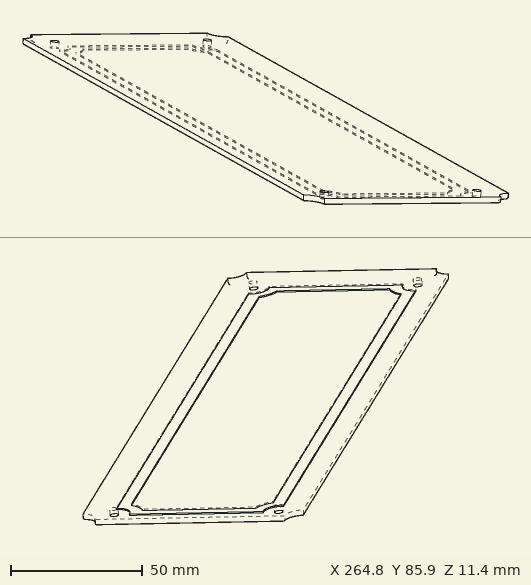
import cadquery as cq
length = 264.75
width = 86.23
thickness = 2.5
edge_fillet = 1.0
tilt_angle = 6.0

corner_radius = 6.0

hole_diameter = 3.2
hole_inset = 11.0

frame_inset = 10.4
frame_width = 5.0
frame_depth = 0.5
frame_corner_radius = 6.0


def corner_cylinders(inset, radius, height):
    """Four cylinders rising from Z = 0, at a given inset from the plate corners."""
    return (
        cq.Workplane("XY")
        .rect(length - 2 * inset, width - 2 * inset, forConstruction=True)
        .vertices()
        .circle(radius)
        .extrude(height)
    )


def inset_block(inset, height):
    """Rectangular block rising from Z = 0, at a given inset from the plate sides."""
    return cq.Workplane("XY").box(
        length - 2 * inset, width - 2 * inset, height, centered=(True, True, False)
    )


def plate_body():
    body = inset_block(0, thickness).cut(corner_cylinders(0, corner_radius, thickness))
    return body.faces("<Z").edges().fillet(edge_fillet)


def frame_panel(inset, radius):
    """Rectangle as deep as the groove, with concave arcs around the holes."""
    arcs = corner_cylinders(hole_inset, radius, frame_depth)
    return inset_block(inset, frame_depth).cut(arcs)


def frame_groove():
    outer = frame_panel(frame_inset, frame_corner_radius)
    inner = frame_panel(frame_inset + frame_width, frame_corner_radius + frame_width)
    return outer.cut(inner)


def screw_holes():
    return corner_cylinders(hole_inset, hole_diameter / 2, thickness)


flat_plate = plate_body().cut(frame_groove()).cut(screw_holes())
result = flat_plate.rotate((0, 0, 0), (1, 0, 0), -tilt_angle)